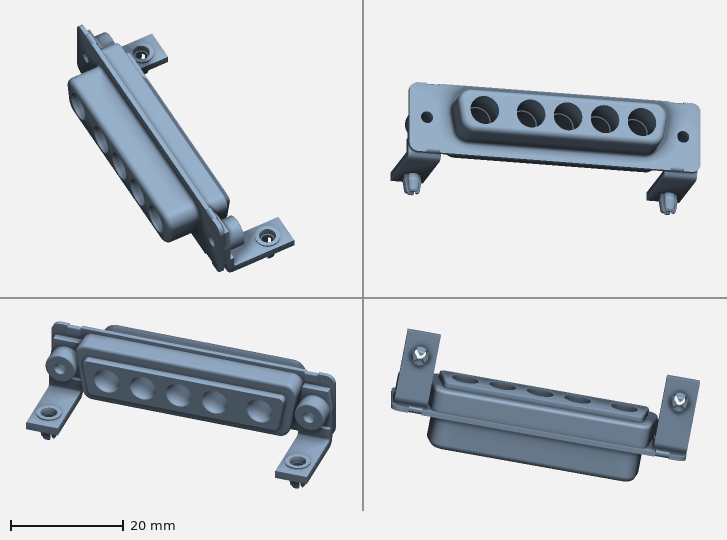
import cadquery as cq
import math

OVERALL_HEIGHT = 17.1

PLATE_LENGTH = 53.4
PLATE_HEIGHT = 12.95
PLATE_THICKNESS = 0.8
PLATE_CORNER_RADIUS = 1.6
MOUNT_X = 23.5
MOUNT_HOLE_RADIUS = 1.095

SIDE_ANGLE = 10.0
FRONT_HALF_WIDTH = 18.9
FRONT_HEIGHT = 8.0
FRONT_CENTRE_Z = -0.05
FRONT_CORNER_RADIUS = 2.45
FRONT_DEPTH = 6.4
FRONT_RIM_RADIUS = 1.0
FRONT_ROOT_RADIUS = 0.55
HOUSING_HALF_WIDTH = 20.25
HOUSING_HEIGHT = 11.45
HOUSING_CORNER_RADIUS = 2.05
HOUSING_END = 4.9
HOUSING_RIM_RADIUS = 0.6
TONGUE_HALF_WIDTH = 18.55
TONGUE_HEIGHT = 7.15
TONGUE_CENTRE_Z = -0.05
TONGUE_CORNER_RADIUS = 0.95
TONGUE_END = 6.2
TONGUE_BEVEL_LENGTH = 0.4
TONGUE_BEVEL_INSET = 0.1

CONTACT_RADIUS = 2.4
CONTACT_MOUTH_RADIUS = 2.6
CONTACT_PITCH = 6.8
PITCHED_CONTACTS = 4
FIRST_CONTACT_X = -6.0
OUTER_CONTACT_X = -14.5

CLIP_X = 22.4
CLIP_WIDTH = 2.45
CLIP_HEIGHT = 1.6
CLIP_END = 1.1
CLIP_FRONT_RADIUS = 0.65
CLIP_REAR_RADIUS = 0.3

BRACKET_WIDTH = 6.0
BRACKET_OFFSET = -0.05
BRACKET_END = 15.15
LEG_TOP = -5.8
LEG_THICKNESS = 1.5
LEG_BOTTOM = LEG_TOP - LEG_THICKNESS
UPRIGHT_TOP = 4.05
UPRIGHT_TOP_WIDTH = 4.85
UPRIGHT_BACK = 2.2
JOG_FRONT = 1.45
JOG_BACK = JOG_FRONT + LEG_THICKNESS
JOG_FRONT_Z = -4.2
JOG_BACK_Z = -3.4
BEND_OUTER_RADIUS = 1.4
BEND_INNER_RADIUS = 0.45
BOSS_RADIUS = 2.85
BOSS_END = 5.3
BOSS_EDGE_RADIUS = 0.3

PEG_Y = 11.3
PEG_COLLAR_RADIUS = 2.25
PEG_COLLAR_HEIGHT = 0.3
PEG_NECK_RADIUS = 1.5
PEG_BULGE_RADIUS = 1.65
PEG_BULGE_Z = -8.6
PEG_END_RADIUS = 1.4
PEG_TIP_RADIUS = 1.2
PEG_TIP_CHAMFER = 0.3
PEG_BOTTOM = PLATE_HEIGHT / 2 - OVERALL_HEIGHT
PEG_MOUTH_RADIUS = 1.5
PEG_LEDGE_RADIUS = 1.3
PEG_MOUTH_DEPTH = 1.05
PEG_BORE_RADIUS = 1.05
PEG_BORE_BOTTOM = -9.4
PEG_SLOT_WIDTH = 0.75


def block(x_range, y_range, z_range):
    """Axis-aligned box between the given limits."""
    size = [high - low for low, high in (x_range, y_range, z_range)]
    corner = (x_range[0], y_range[0], z_range[0])
    return cq.Workplane("XY").box(*size, centered=False).translate(corner)


def cylinder_y(x, radius, y_start, y_end):
    """Cylinder along Y on the mounting height z = 0."""
    plane = cq.Workplane("XZ", origin=(0, y_start, 0))
    return plane.center(x, 0).circle(radius).extrude(y_start - y_end)


def d_body(half_width, height, corner_radius, y_start, y_end):
    """D-shaped prism along Y; half_width is taken at mid height."""
    half_height = height / 2
    lean = half_height * math.tan(math.radians(SIDE_ANGLE))
    top_x = half_width + lean
    bottom_x = half_width - lean
    outline = [
        (-top_x, half_height),
        (top_x, half_height),
        (bottom_x, -half_height),
        (-bottom_x, -half_height),
    ]
    body = cq.Workplane("XZ", origin=(0, y_start, 0)).polyline(outline).close().extrude(y_start - y_end)
    return body.edges("|Y").fillet(corner_radius)


def flange_with_front_body():
    """Flange plate and the filleted coupling body in front of it."""
    plate = block(
        (-PLATE_LENGTH / 2, PLATE_LENGTH / 2),
        (0, PLATE_THICKNESS),
        (-PLATE_HEIGHT / 2, PLATE_HEIGHT / 2),
    )
    plate = plate.edges("|Y").fillet(PLATE_CORNER_RADIUS)
    front = d_body(FRONT_HALF_WIDTH, FRONT_HEIGHT, FRONT_CORNER_RADIUS, PLATE_THICKNESS, -FRONT_DEPTH)
    front = front.translate((0, 0, FRONT_CENTRE_Z))
    front = front.faces("<Y").edges().fillet(FRONT_RIM_RADIUS)
    joint = cq.selectors.BoxSelector(
        (-MOUNT_X, -FRONT_ROOT_RADIUS / 2, -HOUSING_HEIGHT / 2),
        (MOUNT_X, FRONT_ROOT_RADIUS / 2, HOUSING_HEIGHT / 2),
    )
    return plate.union(front).edges(joint).fillet(FRONT_ROOT_RADIUS)


def rear_bodies():
    """Rear housing and the shallower tongue standing out of it."""
    housing = d_body(HOUSING_HALF_WIDTH, HOUSING_HEIGHT, HOUSING_CORNER_RADIUS, 0, HOUSING_END)
    housing = housing.faces(">Y").edges().fillet(HOUSING_RIM_RADIUS)
    tongue = d_body(TONGUE_HALF_WIDTH, TONGUE_HEIGHT, TONGUE_CORNER_RADIUS, 0, TONGUE_END)
    tongue = tongue.faces(">Y").edges().chamfer(TONGUE_BEVEL_LENGTH, TONGUE_BEVEL_INSET)
    return housing.union(tongue.translate((0, 0, TONGUE_CENTRE_Z)))


def clip(x, side):
    """Folded tab on the top (side = 1) or bottom (side = -1) flange edge."""
    edge_z = PLATE_HEIGHT / 2
    x_range = (x - CLIP_WIDTH / 2, x + CLIP_WIDTH / 2)
    tab = block(x_range, (0, CLIP_END), (edge_z - CLIP_HEIGHT, edge_z))
    tab = tab.edges(">Z and <Y").fillet(CLIP_FRONT_RADIUS)
    tab = tab.edges("|X and >Y and >Z").fillet(CLIP_REAR_RADIUS)
    notch = block(x_range, (0, PLATE_THICKNESS), (edge_z - CLIP_FRONT_RADIUS, edge_z))
    if side < 0:
        tab = tab.mirror("XY")
        notch = notch.mirror("XY")
    return tab, notch


def bracket(mount_x):
    """Angle bracket with a tapered upright and a round boss."""
    centre_x = mount_x + BRACKET_OFFSET
    profile = [
        (PLATE_THICKNESS, UPRIGHT_TOP),
        (PLATE_THICKNESS, JOG_FRONT_Z),
        (JOG_FRONT, JOG_FRONT_Z),
        (JOG_FRONT, LEG_BOTTOM),
        (BRACKET_END, LEG_BOTTOM),
        (BRACKET_END, LEG_TOP),
        (JOG_BACK, LEG_TOP),
        (JOG_BACK, JOG_BACK_Z),
        (UPRIGHT_BACK, JOG_BACK_Z),
        (UPRIGHT_BACK, UPRIGHT_TOP),
    ]
    plane = cq.Workplane("YZ", origin=(centre_x - BRACKET_WIDTH / 2, 0, 0))
    strip = plane.polyline(profile).close().extrude(BRACKET_WIDTH)
    strip = strip.edges(cq.selectors.NearestToPointSelector((centre_x, JOG_FRONT, LEG_BOTTOM)))
    strip = strip.fillet(BEND_OUTER_RADIUS)
    strip = strip.edges(cq.selectors.NearestToPointSelector((centre_x, JOG_BACK, LEG_TOP)))
    strip = strip.fillet(BEND_INNER_RADIUS)

    taper = [
        (-BRACKET_WIDTH / 2, LEG_BOTTOM),
        (BRACKET_WIDTH / 2, LEG_BOTTOM),
        (BRACKET_WIDTH / 2, 0),
        (UPRIGHT_TOP_WIDTH / 2, UPRIGHT_TOP),
        (-UPRIGHT_TOP_WIDTH / 2, UPRIGHT_TOP),
        (-BRACKET_WIDTH / 2, 0),
    ]
    envelope = cq.Workplane("XZ", origin=(centre_x, 0, 0)).polyline(taper).close().extrude(-BRACKET_END)

    boss = cylinder_y(mount_x, BOSS_RADIUS, PLATE_THICKNESS, BOSS_END)
    boss = boss.faces(">Y").edges().fillet(BOSS_EDGE_RADIUS)
    return strip.intersect(envelope).union(boss)


def peg_solid(mount_x):
    """Collar on the bracket leg and the bulging peg below it, without its openings."""
    collar_top = LEG_TOP + PEG_COLLAR_HEIGHT
    profile = [
        (0, collar_top),
        (PEG_COLLAR_RADIUS, collar_top),
        (PEG_COLLAR_RADIUS, LEG_TOP),
        (PEG_NECK_RADIUS, LEG_TOP),
        (PEG_NECK_RADIUS, LEG_BOTTOM),
        (PEG_BULGE_RADIUS, PEG_BULGE_Z),
        (PEG_END_RADIUS, PEG_BOTTOM + PEG_TIP_CHAMFER),
        (PEG_TIP_RADIUS, PEG_BOTTOM),
        (0, PEG_BOTTOM),
    ]
    peg = cq.Workplane("XZ").polyline(profile).close().revolve(360, (0, 0, 0), (0, 1, 0))
    return peg.translate((mount_x, PEG_Y, 0))


def peg_openings(mount_x):
    """Tapered mouth, narrower bore and the diagonal slots that split the peg into four legs."""
    collar_top = LEG_TOP + PEG_COLLAR_HEIGHT
    profile = [
        (0, collar_top),
        (PEG_MOUTH_RADIUS, collar_top),
        (PEG_LEDGE_RADIUS, collar_top - PEG_MOUTH_DEPTH),
        (PEG_BORE_RADIUS, collar_top - PEG_MOUTH_DEPTH),
        (PEG_BORE_RADIUS, PEG_BORE_BOTTOM),
        (0, PEG_BORE_BOTTOM),
    ]
    openings = cq.Workplane("XZ").polyline(profile).close().revolve(360, (0, 0, 0), (0, 1, 0))
    slot = block(
        (-PEG_COLLAR_RADIUS, PEG_COLLAR_RADIUS),
        (-PEG_SLOT_WIDTH / 2, PEG_SLOT_WIDTH / 2),
        (PEG_BOTTOM, LEG_BOTTOM),
    )
    for angle in (45, -45):
        openings = openings.union(slot.rotate((0, 0, 0), (0, 0, 1), angle))
    return openings.translate((mount_x, PEG_Y, 0))


def contact_hole(x):
    """Through hole along Y, wider through the whole coupling body."""
    hole = cylinder_y(x, CONTACT_RADIUS, 0, TONGUE_END)
    return hole.union(cylinder_y(x, CONTACT_MOUTH_RADIUS, -FRONT_DEPTH, 0))


result = flange_with_front_body().union(rear_bodies())

for mount_x in (-MOUNT_X, MOUNT_X):
    clip_x = math.copysign(CLIP_X, mount_x)
    for side in (1, -1):
        tab, notch = clip(clip_x, side)
        result = result.cut(notch).union(tab)
    result = result.union(bracket(mount_x)).union(peg_solid(mount_x))
    result = result.cut(peg_openings(mount_x))
    result = result.cut(cylinder_y(mount_x, MOUNT_HOLE_RADIUS, 0, BOSS_END))

contact_xs = [OUTER_CONTACT_X] + [FIRST_CONTACT_X + i * CONTACT_PITCH for i in range(PITCHED_CONTACTS)]
for contact_x in contact_xs:
    result = result.cut(contact_hole(contact_x))